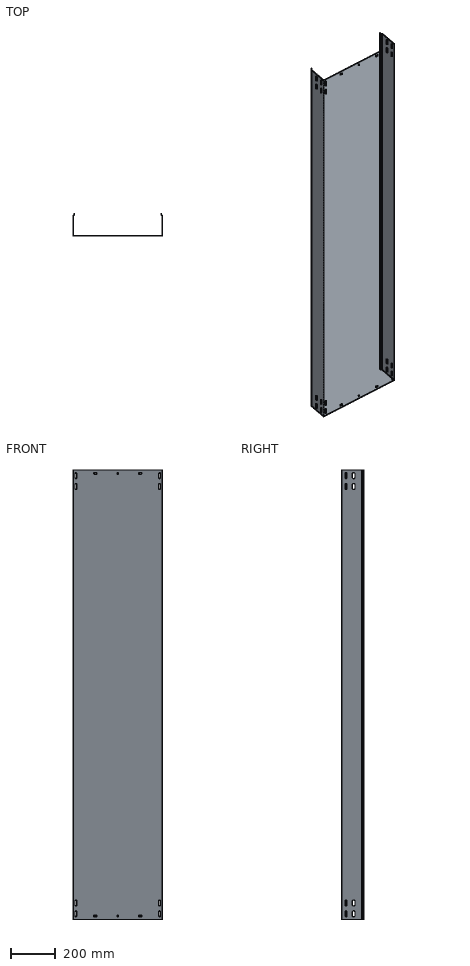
import cadquery as cq
import math

width = 400.0
depth = 100.0
height = 2000.0

sheet = 3.0
lip_height = 5.0
lip_step = 5.0
bend_angle = 45.0

first_row = 25.0
row_pitch = 48.0

upright = 90

narrow_slot_length = 25.0
narrow_slot_width = 5.0
web_slot_offset = 185.0
flange_narrow_slot_y = 20.0

wide_slot_length = 25.0
wide_slot_width = 12.0
flange_wide_slot_y = 55.0

end_hole_inset = 15.0
end_slot_offset = 100.0
end_slot_length = 15.0
end_slot_width = 5.0
end_hole_diameter = 5.0
end_hole_rows = (end_hole_inset - height / 2, height / 2 - end_hole_inset)
web_cut_depth = 4 * sheet

slot_rows = [
    side * (height / 2 - first_row - row * row_pitch)
    for side in (-1, 1)
    for row in (0, 1)
]


def right_half_profile():
    """Right half of the constant section, from the centre line to the lip and back."""
    outside = width / 2
    lip_outside = outside - lip_step
    slope_end = depth - lip_height
    slope_start = slope_end - lip_step / math.tan(math.radians(bend_angle))
    bend_shift = sheet * math.tan(math.radians(bend_angle / 2))
    return [
        (0, 0),
        (outside, 0),
        (outside, slope_start),
        (lip_outside, slope_end),
        (lip_outside, depth),
        (lip_outside - sheet, depth),
        (lip_outside - sheet, slope_end - bend_shift),
        (outside - sheet, slope_start - bend_shift),
        (outside - sheet, sheet),
        (0, sheet),
    ]


def folded_channel():
    """Web and two flanges whose free edges slope inwards to form lips."""
    right_half = (
        cq.Workplane("XY", origin=(0, 0, -height / 2))
        .polyline(right_half_profile())
        .close()
        .extrude(height)
    )
    return right_half.union(right_half.mirror("YZ"))


def web_plane():
    """Plane just behind the web, from which cuts run forward through it."""
    return cq.Workplane("XZ", origin=(0, web_cut_depth / 2, 0))


def web_side_slots():
    points = [(x, z) for x in (-web_slot_offset, web_slot_offset) for z in slot_rows]
    profile = web_plane().pushPoints(points).slot2D(narrow_slot_length, narrow_slot_width, upright)
    return profile.extrude(web_cut_depth)


def web_end_slots():
    points = [(x, z) for x in (-end_slot_offset, end_slot_offset) for z in end_hole_rows]
    profile = web_plane().pushPoints(points).slot2D(end_slot_length, end_slot_width)
    return profile.extrude(web_cut_depth)


def web_end_holes():
    profile = web_plane().pushPoints([(0, z) for z in end_hole_rows]).circle(end_hole_diameter / 2)
    return profile.extrude(web_cut_depth)


def flange_slots(y, length, slot_width):
    """Upright slots at one depth, passing through both flanges."""
    return (
        cq.Workplane("YZ")
        .pushPoints([(y, z) for z in slot_rows])
        .slot2D(length, slot_width, upright)
        .extrude(width, both=True)
    )


result = folded_channel()
result = result.cut(web_side_slots())
result = result.cut(web_end_slots())
result = result.cut(web_end_holes())
result = result.cut(flange_slots(flange_narrow_slot_y, narrow_slot_length, narrow_slot_width))
result = result.cut(flange_slots(flange_wide_slot_y, wide_slot_length, wide_slot_width))
result = result.translate((0, -depth / 2, 0))